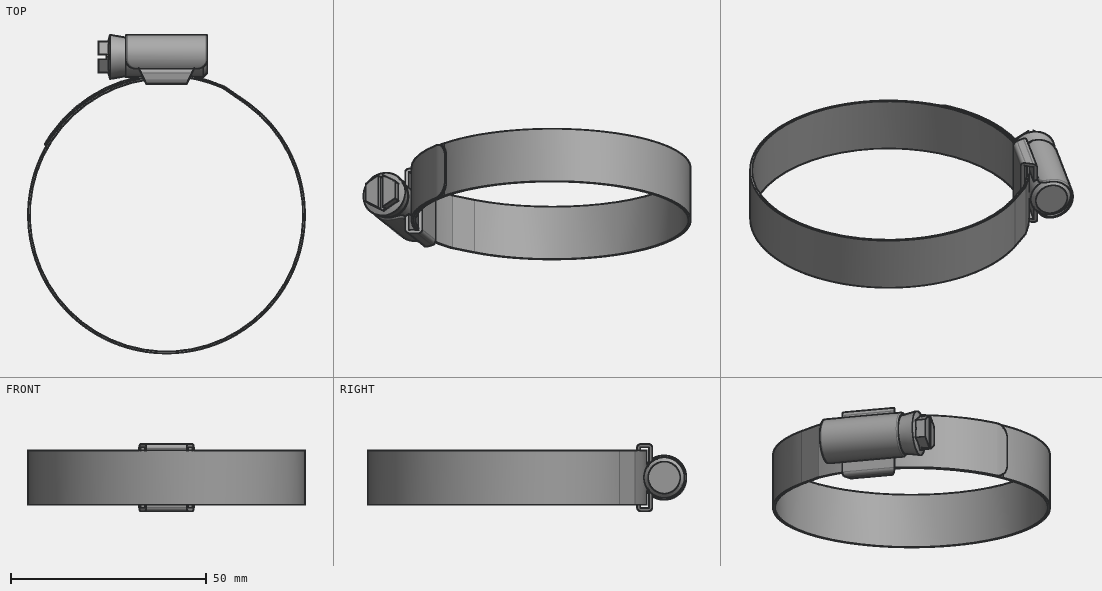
import cadquery as cq
import math

band_radius = 35.53
band_thickness = 0.55
band_width = 14.0
lap_gap = 0.02
inner_end_angle = 84.0
rise_start_angle = 54.5
rise_end_angle = 65.7
tail_end_angle = 150.0
tail_corner_radius = 3.5

screw_axis_y = 40.5
hex_end_x = -17.43
dome_tip_x = -15.42
head_rim_x = -14.47
head_radius = 5.7
hex_across_flats = 8.0
slot_width = 1.2
neck_end_radius = 5.0
worm_radius = 5.2
worm_tip_chamfer = 1.1

housing_half_length = 10.5
tube_wall = 0.5
tube_rim_fillet = 0.4
loop_height = 4.0
loop_bottom_y = 33.5
loop_width = 17.3
loop_wall = 0.9
loop_corner_radius = 1.1
loop_half_length_top = 7.05
loop_half_length_bottom = 5.15
skirt_curve_radius = 2.5

lap_inner_radius = band_radius + lap_gap
lap_outer_radius = lap_inner_radius + band_thickness
band_inner_radius = band_radius - band_thickness
tube_radius = worm_radius + tube_wall
loop_top_y = loop_bottom_y + loop_height


def polar(radius, angle):
    """Point at a radius and an angle (degrees from +X) about the Z axis."""
    return radius * math.cos(math.radians(angle)), radius * math.sin(math.radians(angle))


def arc_middle(radius, start, end):
    return polar(radius, (start + end) / 2)


def make_screw():
    """Slotted hexagon head on a domed flange, tapered neck and worm, turned about the X axis."""
    turned = (
        cq.Workplane("XY")
        .moveTo(dome_tip_x, 0)
        .threePointArc(
            (dome_tip_x + (head_rim_x - dome_tip_x) / 4, head_radius / 2),
            (head_rim_x, head_radius),
        )
        .lineTo(-housing_half_length, neck_end_radius)
        .lineTo(-housing_half_length, worm_radius)
        .lineTo(housing_half_length - worm_tip_chamfer, worm_radius)
        .lineTo(housing_half_length, worm_radius - worm_tip_chamfer)
        .lineTo(housing_half_length, 0)
        .close()
        .revolve(360, (0, 0, 0), (1, 0, 0))
    )
    hex_diameter = hex_across_flats / math.cos(math.pi / 6)
    hexagon = (
        cq.Workplane("YZ")
        .polygon(6, hex_diameter)
        .extrude(head_rim_x - hex_end_x)
        .rotate((0, 0, 0), (1, 0, 0), 90)
        .translate((hex_end_x, 0, 0))
    )
    slot = cq.Workplane("XY").box(
        dome_tip_x - hex_end_x, slot_width, hex_diameter, centered=(False, True, True)
    ).translate((hex_end_x, 0, 0))
    return turned.union(hexagon).cut(slot).translate((0, screw_axis_y, 0))


def housing_side_outline():
    """Outline across X and Y: full tube length above, curving in to the tapered loop below."""
    curve_end_x = housing_half_length - skirt_curve_radius
    curve_start_y = loop_top_y + skirt_curve_radius
    bow = skirt_curve_radius * math.sqrt(0.5)
    top_y = screw_axis_y + tube_radius
    return (
        cq.Workplane("XY", origin=(0, 0, -loop_width / 2))
        .moveTo(-housing_half_length, top_y)
        .lineTo(-housing_half_length, curve_start_y)
        .threePointArc((-curve_end_x - bow, curve_start_y - bow), (-curve_end_x, loop_top_y))
        .lineTo(-loop_half_length_top, loop_top_y)
        .lineTo(-loop_half_length_bottom, loop_bottom_y)
        .lineTo(loop_half_length_bottom, loop_bottom_y)
        .lineTo(loop_half_length_top, loop_top_y)
        .lineTo(curve_end_x, loop_top_y)
        .threePointArc((curve_end_x + bow, curve_start_y - bow), (housing_half_length, curve_start_y))
        .lineTo(housing_half_length, top_y)
        .close()
        .extrude(loop_width)
    )


def bar_along_x(height, width, centre_y):
    return (
        cq.Workplane("XY")
        .box(2 * housing_half_length, height, width)
        .translate((0, centre_y, 0))
    )


def rod_along_x(radius):
    return (
        cq.Workplane("YZ", origin=(-housing_half_length, screw_axis_y, 0))
        .circle(radius)
        .extrude(2 * housing_half_length)
    )


def outer_rim_edges(housing_sheet):
    """Edges that bound the tube's outer surface at its two ends and along the curved skirts."""
    tolerance = 1e-3

    def on_tube_surface(point):
        return abs(math.hypot(point.y - screw_axis_y, point.z) - tube_radius) < tolerance

    return [
        edge
        for edge in housing_sheet.edges().vals()
        if all(on_tube_surface(edge.positionAt(place)) for place in (0, 0.5, 1))
        and abs(edge.Center().x) > loop_half_length_top
    ]


def make_housing():
    """Tube and band loop as one bent sheet, trimmed to the side outline."""
    loop_centre_y = loop_bottom_y + loop_height / 2
    loop = bar_along_x(loop_height, loop_width, loop_centre_y).edges("|X").fillet(loop_corner_radius)
    opening = bar_along_x(loop_height - 2 * loop_wall, loop_width - 2 * loop_wall, loop_centre_y)
    worm_bore = rod_along_x(worm_radius)
    loop_ceiling_y = loop_top_y - loop_wall
    tube_height = screw_axis_y + tube_radius - loop_ceiling_y
    above_ceiling = bar_along_x(tube_height, loop_width, loop_ceiling_y + tube_height / 2)
    tube = rod_along_x(tube_radius).intersect(above_ceiling)
    sheet = loop.union(tube).cut(opening).cut(worm_bore)
    trimmed = sheet.intersect(housing_side_outline())
    return trimmed.newObject(outer_rim_edges(trimmed)).fillet(tube_rim_fillet)


def make_tail_corner_cutter():
    """Pair of wedges that leave a round at the top and bottom corners of the tail end."""
    half_width = band_width / 2
    corner_arc_offset = tail_corner_radius * (1 - math.sqrt(0.5))
    upper = (
        cq.Workplane("YZ")
        .moveTo(0, half_width - tail_corner_radius)
        .threePointArc(
            (-corner_arc_offset, half_width - corner_arc_offset),
            (-tail_corner_radius, half_width),
        )
        .lineTo(0, half_width)
        .close()
        .extrude(2 * band_thickness)
        .translate((lap_inner_radius - lap_gap / 2, 0, 0))
    )
    both = upper.union(upper.mirror("XY"))
    return both.rotate((0, 0, 0), (0, 0, 1), tail_end_angle)


def make_band(worm):
    """Strip from its inner end round the ring, rising into the tail; the worm sinks into it."""
    full_turn = 360
    strip = (
        cq.Workplane("XY", origin=(0, 0, -band_width / 2))
        .moveTo(*polar(band_inner_radius, inner_end_angle))
        .threePointArc(
            arc_middle(band_inner_radius, inner_end_angle, rise_start_angle + full_turn),
            polar(band_inner_radius, rise_start_angle),
        )
        .lineTo(*polar(lap_inner_radius, rise_end_angle))
        .threePointArc(
            arc_middle(lap_inner_radius, rise_end_angle, tail_end_angle),
            polar(lap_inner_radius, tail_end_angle),
        )
        .lineTo(*polar(lap_outer_radius, tail_end_angle))
        .threePointArc(
            arc_middle(lap_outer_radius, rise_end_angle, tail_end_angle),
            polar(lap_outer_radius, rise_end_angle),
        )
        .lineTo(*polar(band_radius, rise_start_angle))
        .threePointArc(
            arc_middle(band_radius, inner_end_angle, rise_start_angle + full_turn),
            polar(band_radius, inner_end_angle),
        )
        .close()
        .extrude(band_width)
    )
    return strip.cut(make_tail_corner_cutter()).cut(worm)


screw = make_screw()
housing = make_housing()
band = make_band(screw)

result = cq.Compound.makeCompound([band.solids().val(), housing.solids().val(), screw.solids().val()])